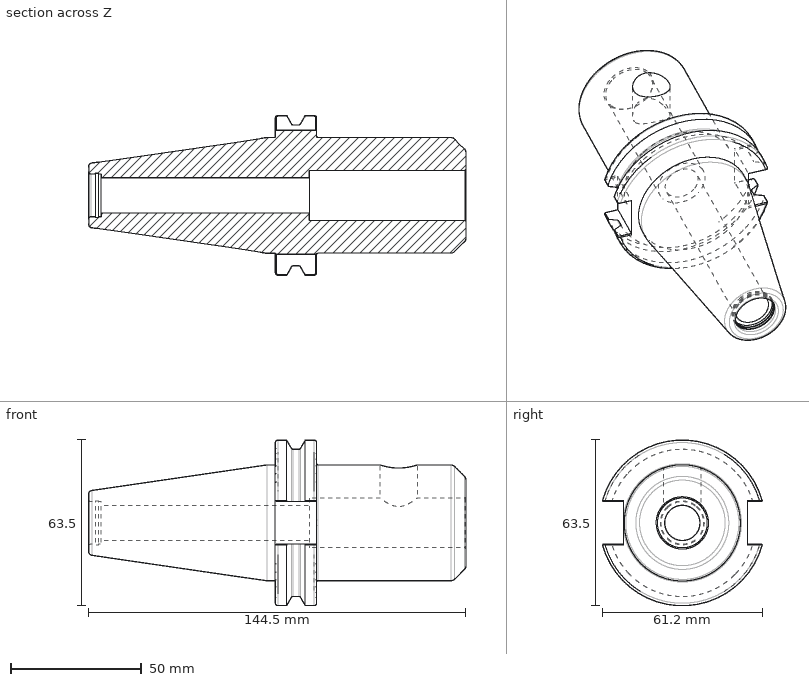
import cadquery as cq
import math

taper_start = -68.25
gauge_plane = 0.0
flange_start = 3.175
flange_end = 19.05
nose_end = 76.2

gauge_radius = 44.45 / 2
taper_slope = 3.5 / 24
taper_end_radius = gauge_radius + taper_slope * (taper_start - gauge_plane)
taper_end_fillet = 1.5
nose_chamfer = 5.0
nose_fillet = 2.0

flange_radius = 63.5 / 2
flange_edge_fillet = 1.0
flange_root_fillet = 0.4
flange_length = flange_end - flange_start
flange_middle = (flange_start + flange_end) / 2

groove_center = 11.1
groove_root_radius = 28.2
groove_root_half_width = 1.5
groove_root_fillet = 0.6
groove_flank_angle = 30
groove_depth = flange_radius - groove_root_radius
groove_mouth_half_width = groove_root_half_width + groove_depth * math.tan(math.radians(groove_flank_angle))

slot_width = 16.3
front_slot_floor = 22.6
back_slot_floor = 25.0
slot_edge_chamfer = 0.4

pilot_radius = 16.3 / 2
pilot_mouth_fillet = 0.85
relief_radius = 16.8 / 2
relief_start = taper_start + 2.6
relief_end = taper_start + 3.8
pilot_end = taper_start + 4.8
thread_core_radius = 13.39 / 2

tool_bore_radius = 19.05 / 2
tool_bore_depth = 60.0
tool_bore_start = nose_end - tool_bore_depth
tool_bore_mouth_radius = 20.05 / 2
tool_bore_chamfer = tool_bore_mouth_radius - tool_bore_radius

screw_hole_diameter = 14.35
screw_hole_position = 50.4


def revolve_about_x(profile):
    return profile.revolve(360, (0, 0, 0), (1, 0, 0))


def cylinder_along_x(start, end, radius):
    return cq.Workplane("YZ", origin=(start, 0, 0)).circle(radius).extrude(end - start)


def round_edge_at(solid, position, radius, fillet):
    """Fillet the circular edge that has the given axial position and radius."""
    def matches(edge):
        box = edge.BoundingBox()
        at_position = abs(box.xmin - position) < 0.01 and abs(box.xmax - position) < 0.01
        return at_position and abs(box.zmax - radius) < 0.01
    return solid.newObject([edge for edge in solid.edges().vals() if matches(edge)]).fillet(fillet)


def make_shank():
    shank = revolve_about_x(
        cq.Workplane("XZ")
        .moveTo(taper_start, 0)
        .lineTo(taper_start, taper_end_radius)
        .lineTo(gauge_plane, gauge_radius)
        .lineTo(nose_end - nose_chamfer, gauge_radius)
        .lineTo(nose_end, gauge_radius - nose_chamfer)
        .lineTo(nose_end, 0)
        .close()
    )
    shank = round_edge_at(shank, taper_start, taper_end_radius, taper_end_fillet)
    shank = round_edge_at(shank, nose_end - nose_chamfer, gauge_radius, nose_fillet)
    return round_edge_at(shank, nose_end, gauge_radius - nose_chamfer, nose_fillet)


def make_flange():
    flange = cylinder_along_x(flange_start, flange_end, flange_radius)
    flange = flange.edges().edges("%CIRCLE").fillet(flange_edge_fillet)
    groove = revolve_about_x(
        cq.Workplane("XZ")
        .moveTo(groove_center - groove_root_half_width, groove_root_radius)
        .lineTo(groove_center - groove_mouth_half_width, flange_radius)
        .lineTo(groove_center + groove_mouth_half_width, flange_radius)
        .lineTo(groove_center + groove_root_half_width, groove_root_radius)
        .close()
    )
    for side in (-1, 1):
        root_edge = groove_center + side * groove_root_half_width
        groove = round_edge_at(groove, root_edge, groove_root_radius, groove_root_fillet)
    return flange.cut(groove)


def cut_drive_slot(flange, floor, side):
    slot = cq.Workplane("XY").box(flange_length, flange_radius, slot_width)
    slot_middle = side * (floor + flange_radius / 2)
    flange = flange.cut(slot.translate((flange_middle, slot_middle, 0)))

    def is_outer_wall_edge(edge):
        """True for the wall edges on the flange sides and rim, not on the floor or in the groove."""
        center = edge.Center()
        on_wall = abs(abs(center.z) - slot_width / 2) < 0.01
        above_floor = side * center.y > floor + 0.01
        outside_groove = abs(center.x - groove_center) > groove_mouth_half_width
        return on_wall and above_floor and outside_groove

    wall_edges = [edge for edge in flange.edges().vals() if is_outer_wall_edge(edge)]
    return flange.newObject(wall_edges).chamfer(slot_edge_chamfer)


def make_taper_end_bore():
    return revolve_about_x(
        cq.Workplane("XZ")
        .moveTo(taper_start, 0)
        .lineTo(taper_start, pilot_radius + pilot_mouth_fillet)
        .radiusArc((taper_start + pilot_mouth_fillet, pilot_radius), -pilot_mouth_fillet)
        .lineTo(relief_start, pilot_radius)
        .lineTo(relief_start, relief_radius)
        .lineTo(relief_end, relief_radius)
        .lineTo(relief_end, pilot_radius)
        .lineTo(pilot_end, pilot_radius)
        .lineTo(pilot_end, thread_core_radius)
        .lineTo(tool_bore_start, thread_core_radius)
        .lineTo(tool_bore_start, 0)
        .close()
    )


def make_tool_bore():
    return revolve_about_x(
        cq.Workplane("XZ")
        .moveTo(tool_bore_start, 0)
        .lineTo(tool_bore_start, tool_bore_radius)
        .lineTo(nose_end - tool_bore_chamfer, tool_bore_radius)
        .lineTo(nose_end, tool_bore_mouth_radius)
        .lineTo(nose_end, 0)
        .close()
    )


def make_screw_hole():
    center = (screw_hole_position, 0, 0)
    return cq.Workplane("XY", origin=center).circle(screw_hole_diameter / 2).extrude(gauge_radius)


flange = make_flange()
flange = cut_drive_slot(flange, front_slot_floor, -1)
flange = cut_drive_slot(flange, back_slot_floor, 1)
body = make_shank().union(flange)
body = round_edge_at(body, flange_end, gauge_radius, flange_root_fillet)
body = body.cut(make_taper_end_bore()).cut(make_tool_bore())
result = body.cut(make_screw_hole())